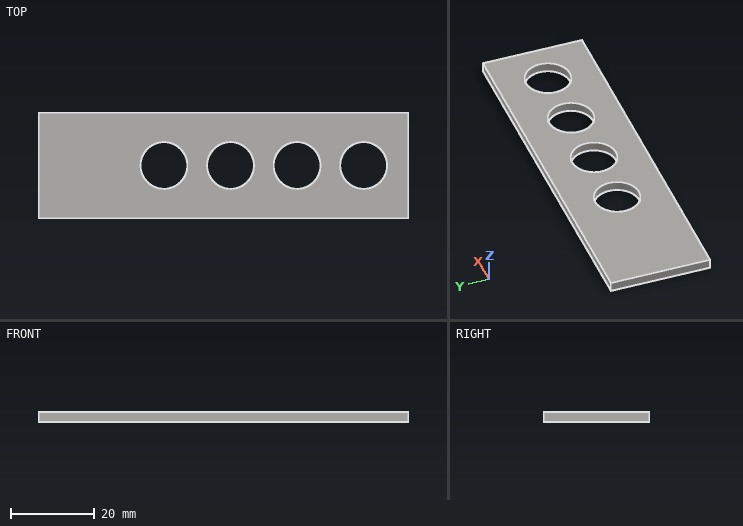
import cadquery as cq

length = 88.9
width = 25.4
thickness = 2.5

hole_diameter = 11.2
hole_count = 4
hole_pitch = 16.0
end_margin = 10.8

last_hole_x = length / 2 - end_margin
hole_centers = [(last_hole_x - i * hole_pitch, 0) for i in range(hole_count)]

plate = cq.Workplane("XY").box(length, width, thickness)
result = plate.faces(">Z").workplane().pushPoints(hole_centers).hole(hole_diameter)